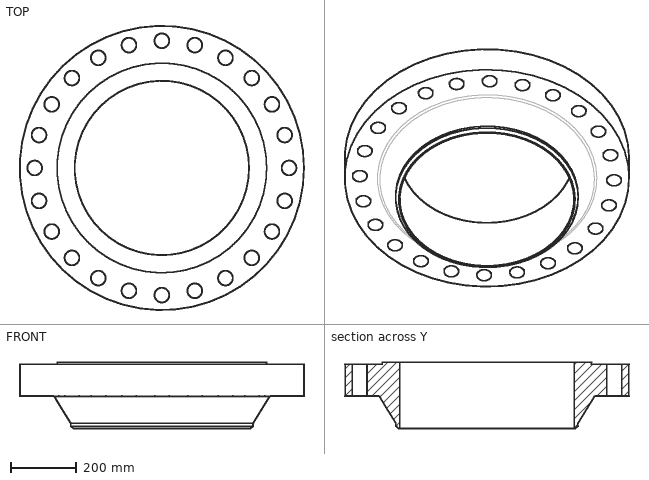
import cadquery as cq

flange_diameter = 870.0
total_height = 204.0
bore_diameter = 532.0

flange_thickness = 97.0
face_diameter = 641.0
face_height = 6.0

neck_base_diameter = 661.0
neck_end_diameter = 558.5
neck_fillet_radius = 9.0
weld_end_diameter = 539.0
weld_bevel_height = 8.0
weld_land_height = 9.0

bolt_count = 24
bolt_circle_diameter = 778.0
bolt_hole_diameter = 44.0

flange_top = total_height - face_height
flange_bottom = flange_top - flange_thickness
taper_start = weld_bevel_height + weld_land_height


def make_neck_and_flange():
    """Revolve the flange, raised face and beveled neck around Z."""
    profile = [
        (bore_diameter / 2, 0),
        (weld_end_diameter / 2, 0),
        (neck_end_diameter / 2, weld_bevel_height),
        (neck_end_diameter / 2, taper_start),
        (neck_base_diameter / 2, flange_bottom),
        (flange_diameter / 2, flange_bottom),
        (flange_diameter / 2, flange_top),
        (face_diameter / 2, flange_top),
        (face_diameter / 2, total_height),
        (bore_diameter / 2, total_height),
    ]
    body = cq.Workplane("XZ").polyline(profile).close().revolve(360, (0, 0), (0, 1))
    corner = cq.selectors.RadiusNthSelector(-2)
    return body.edges(corner).fillet(neck_fillet_radius)


def make_bolt_holes():
    """Cylinders on the bolt circle, with the first one on +X."""
    return (
        cq.Workplane("XY")
        .workplane(offset=flange_bottom)
        .polarArray(bolt_circle_diameter / 2, 0, 360, bolt_count)
        .circle(bolt_hole_diameter / 2)
        .extrude(flange_thickness)
    )


result = make_neck_and_flange().cut(make_bolt_holes())